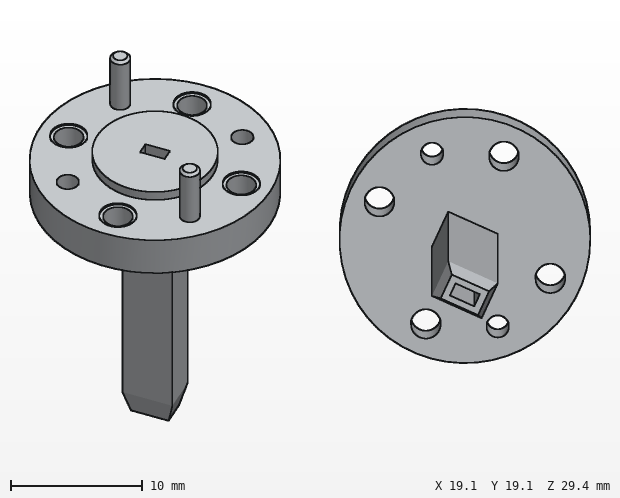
import cadquery as cq

flange_diameter = 19.05
flange_thickness = 3.25
boss_diameter = 9.55
boss_height = 0.8

stem_width = 4.15
stem_depth = 2.95
tip_width = 3.1
tip_depth = 2.02
tip_length = 2.02
overall_height = 29.35
guide_width = 2.02
guide_depth = 1.03

bolt_circle_radius = 7.13
screw_hole_diameter = 2.25
screw_rim_diameter = 2.85
screw_rim_depth = 0.15
pin_diameter = 1.55
pin_height = 4.72
pin_chamfer = 0.23
pin_hole_diameter = 1.7

first_pin_angle = 135
first_pin_hole_angle = 45

stem_length = overall_height - flange_thickness - pin_height
straight_length = stem_length - tip_length


def on_bolt_circle(z, first_angle, count):
    """Evenly spaced points on the bolt circle at height z."""
    plane = cq.Workplane("XY").workplane(offset=z)
    return plane.polarArray(bolt_circle_radius, first_angle, 360, count)


def make_flange():
    disc = cq.Workplane("XY").circle(flange_diameter / 2).extrude(flange_thickness)
    return disc.faces(">Z").workplane().circle(boss_diameter / 2).extrude(boss_height)


def make_stem():
    straight = cq.Workplane("XY").rect(stem_width, stem_depth).extrude(-straight_length)
    tip = (
        cq.Workplane("XY")
        .workplane(offset=-stem_length)
        .rect(tip_width, tip_depth)
        .workplane(offset=tip_length)
        .rect(stem_width, stem_depth)
        .loft(ruled=True)
    )
    return straight.union(tip)


def make_pins():
    pins = on_bolt_circle(flange_thickness, first_pin_angle, 2).circle(pin_diameter / 2).extrude(pin_height)
    return pins.faces(">Z").edges().chamfer(pin_chamfer)


def cut_guide(body):
    guide = (
        cq.Workplane("XY")
        .workplane(offset=-stem_length)
        .rect(guide_width, guide_depth)
        .extrude(stem_length + flange_thickness + boss_height)
    )
    return body.cut(guide)


def cut_screw_holes(body):
    holes = on_bolt_circle(flange_thickness, 0, 4)
    body = body.cut(holes.circle(screw_hole_diameter / 2).extrude(-flange_thickness))
    rims = on_bolt_circle(flange_thickness, 0, 4)
    return body.cut(rims.circle(screw_rim_diameter / 2).extrude(-screw_rim_depth))


def cut_pin_holes(body):
    holes = on_bolt_circle(flange_thickness, first_pin_hole_angle, 2)
    return body.cut(holes.circle(pin_hole_diameter / 2).extrude(-flange_thickness))


result = make_flange().union(make_stem()).union(make_pins())
result = cut_guide(result)
result = cut_screw_holes(result)
result = cut_pin_holes(result)